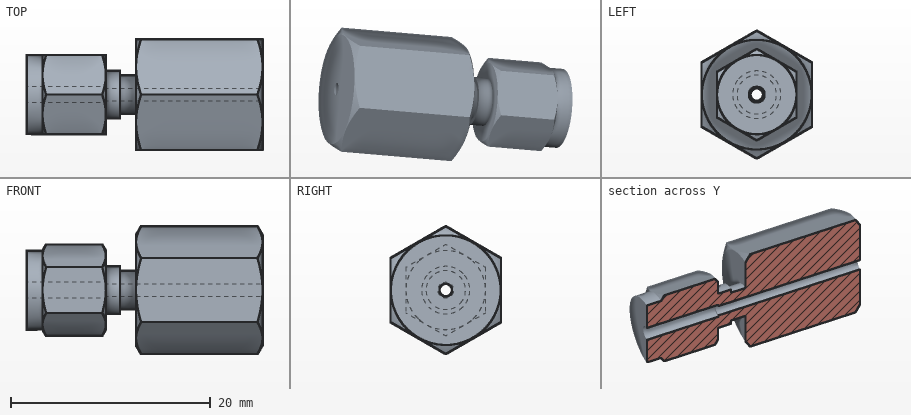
import cadquery as cq
import math

length = 23.62
nut_start = 1.58
nut_end = 7.91
collar_end = 9.35
body_start = 10.91

nut_flats = 7.94
nut_face_diameter = nut_flats
body_flats = 11.1
body_face_diameter = 10.98
collar_diameter = 4.8
neck_diameter = 3.92
bevel_angle = 30.0

bore_diameter = 1.23
tube_socket_diameter = 1.58
tube_socket_depth = nut_end

overlap = 0.24


def cylinder(start, end, diameter):
    """Cylinder on the X axis between two stations."""
    return cq.Workplane("YZ", origin=(start, 0, 0)).circle(diameter / 2).extrude(end - start)


def beveled_hex(start, end, flats, face_diameter):
    """Hexagonal prism with corners up and down, bevelled by cones at both ends."""
    corner_radius = flats / 2 / math.cos(math.pi / 6)
    corners = [
        (corner_radius * math.sin(math.radians(angle)), corner_radius * math.cos(math.radians(angle)))
        for angle in range(0, 360, 60)
    ]
    prism = cq.Workplane("YZ", origin=(start, 0, 0)).polyline(corners).close().extrude(end - start)

    face_radius = face_diameter / 2
    envelope_radius = corner_radius + overlap
    bevel_length = (envelope_radius - face_radius) * math.tan(math.radians(bevel_angle))
    envelope = (
        cq.Workplane("XY")
        .moveTo(start, 0)
        .lineTo(start, face_radius)
        .lineTo(start + bevel_length, envelope_radius)
        .lineTo(end - bevel_length, envelope_radius)
        .lineTo(end, face_radius)
        .lineTo(end, 0)
        .close()
        .revolve(360, (0, 0, 0), (1, 0, 0))
    )
    return prism.intersect(envelope)


nut = beveled_hex(nut_start, nut_end, nut_flats, nut_face_diameter)
nut_rim = cylinder(0, nut_start + overlap, nut_face_diameter)
collar = cylinder(nut_end - overlap, collar_end, collar_diameter)
neck = cylinder(collar_end - overlap, body_start + overlap, neck_diameter)
body = beveled_hex(body_start, length, body_flats, body_face_diameter)
fitting = nut.union(nut_rim).union(collar).union(neck).union(body)

bore = cylinder(0, length, bore_diameter)
tube_socket = cylinder(0, tube_socket_depth, tube_socket_diameter)

result = fitting.cut(bore).cut(tube_socket)